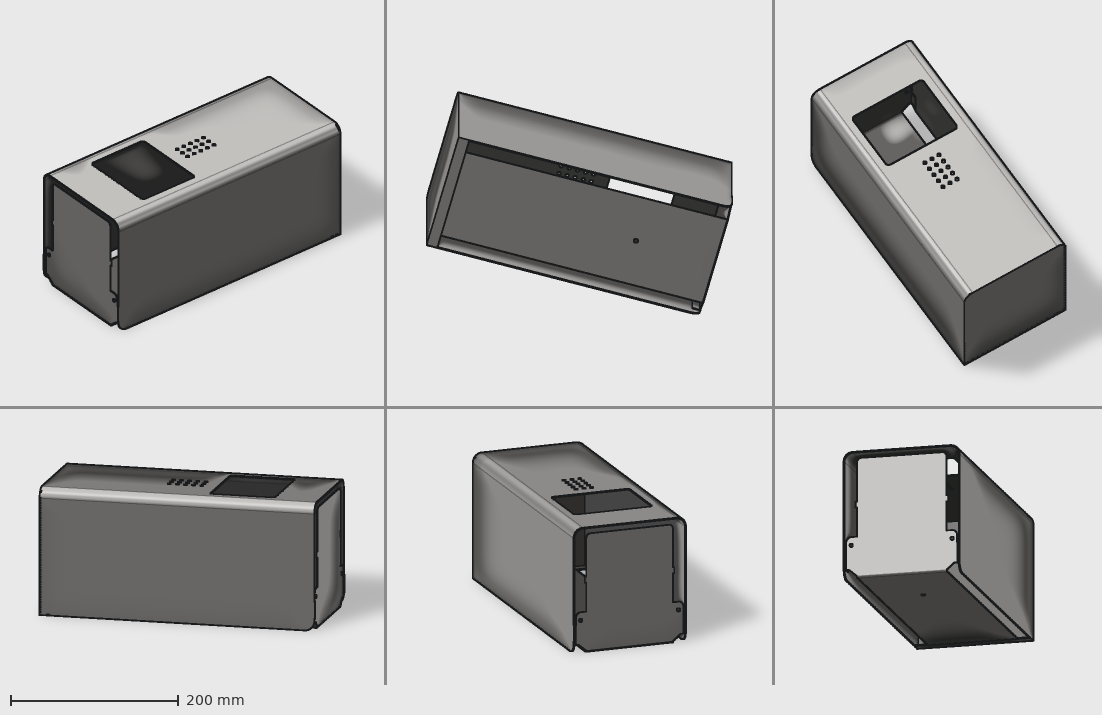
import cadquery as cq

WIDTH = 143.7
LENGTH = 339.0
HEIGHT = 155.5
HOUSING_SHEET = 1.5
CHASSIS_SHEET = 1.0

HOUSING_FRONT = 0.7
ROOF_BEND_RADIUS = 12.0
WALL_CORNER_RADIUS = 12.0
REAR_LIP_DEPTH = 12.0
TAB_BOTTOM = 15.0
TAB_TOP = 36.3

WINDOW_WIDTH = 100.0
WINDOW_LENGTH = 80.0
WINDOW_CORNER_RADIUS = 4.0
WINDOW_Y = 95.0

VENT_DIAMETER = 4.0
VENT_PITCH = 10.0
VENT_COLUMNS = 3
VENT_ROWS = 5
VENT_CENTRE_Y = 175.0

PLATE_HALF_WIDTH = 55.3
PLATE_TOP = 147.5
PLATE_CORNER_RADIUS = 5.0
SHOULDER_HALF_WIDTH = 68.5
SHOULDER_TOP = 50.5
SHOULDER_CORNER_RADIUS = 6.0
CHAMFER_TOP_HALF_WIDTH = 65.0
FLOOR_BEND_RADIUS = 2.0
FLOOR_HALF_WIDTH = 55.5
SCREW_HOLE_DIAMETER = 4.0
SCREW_HOLE_X = 62.5
SCREW_HOLE_Z = 40.5
FLOOR_HOLE_DIAMETER = 5.0
FLOOR_HOLE_Y = 99.5

FLANGE_BOTTOM = 10.2
FLANGE_TOP = 35.3
FLANGE_DEPTH = 10.2
CATCH_BOTTOM = 86.5
CATCH_TOP = 94.0
CATCH_REACH = 1.0
CATCH_EDGE_RADIUS = 0.95

PLATE_BACK = HOUSING_FRONT + CHASSIS_SHEET
REAR_WALL_FRONT = LENGTH - HOUSING_SHEET
LIP_FRONT = REAR_WALL_FRONT - REAR_LIP_DEPTH
INNER_WIDTH = WIDTH - 2 * HOUSING_SHEET


def block(x_range, y_range, z_range):
    """Box spanning the given (low, high) ranges."""
    size = [high - low for low, high in (x_range, y_range, z_range)]
    return cq.Workplane("XY").box(*size, centered=False).translate((x_range[0], y_range[0], z_range[0]))


def arched_block(width, height, top_radius, y_range):
    """Block standing on Z = 0 whose two upper long edges are rounded."""
    body = block((-width / 2, width / 2), y_range, (0, height))
    return body.edges("|Y and >Z").fillet(top_radius)


def vent_centres():
    """Grid of vent centres on the roof."""
    return [
        (
            (column - (VENT_COLUMNS - 1) / 2) * VENT_PITCH,
            VENT_CENTRE_Y + (row - (VENT_ROWS - 1) / 2) * VENT_PITCH,
        )
        for column in range(VENT_COLUMNS)
        for row in range(VENT_ROWS)
    ]


def make_housing():
    outer = arched_block(WIDTH, HEIGHT, ROOF_BEND_RADIUS, (HOUSING_FRONT, LENGTH))
    outer = outer.edges("|X and <Y and <Z").fillet(WALL_CORNER_RADIUS)
    inner_bend_radius = ROOF_BEND_RADIUS - HOUSING_SHEET
    cavity_y_range = (HOUSING_FRONT, REAR_WALL_FRONT)
    cavity = arched_block(INNER_WIDTH, HEIGHT - HOUSING_SHEET, inner_bend_radius, cavity_y_range)
    housing = outer.cut(cavity)

    lip = block((-WIDTH / 2, WIDTH / 2), (LIP_FRONT, LENGTH), (0, HOUSING_SHEET))
    housing = housing.union(lip)

    for left_face in (-WIDTH / 2, INNER_WIDTH / 2):
        tab = block((left_face, left_face + HOUSING_SHEET), (0, PLATE_BACK), (TAB_BOTTOM, TAB_TOP))
        housing = housing.union(tab)

    roof_underside = cq.Workplane("XY").workplane(offset=HEIGHT - HOUSING_SHEET)
    window = (
        roof_underside.center(0, WINDOW_Y)
        .rect(WINDOW_WIDTH, WINDOW_LENGTH)
        .extrude(HOUSING_SHEET)
        .edges("|Z")
        .fillet(WINDOW_CORNER_RADIUS)
    )
    vents = roof_underside.pushPoints(vent_centres()).circle(VENT_DIAMETER / 2).extrude(HOUSING_SHEET)
    return housing.cut(window).cut(vents)


def front_plate():
    """Stepped plate with sloped lower corners and two screw holes."""
    right_outline = [
        (FLOOR_HALF_WIDTH, 0),
        (FLOOR_HALF_WIDTH, FLOOR_BEND_RADIUS),
        (CHAMFER_TOP_HALF_WIDTH, FLANGE_BOTTOM),
        (SHOULDER_HALF_WIDTH, FLANGE_BOTTOM),
        (SHOULDER_HALF_WIDTH, SHOULDER_TOP),
        (PLATE_HALF_WIDTH, SHOULDER_TOP),
        (PLATE_HALF_WIDTH, PLATE_TOP),
    ]
    left_outline = [(-x, z) for x, z in reversed(right_outline)]
    plane = cq.Workplane("XZ", origin=(0, PLATE_BACK, 0))
    plate = plane.polyline(right_outline + left_outline).close().extrude(CHASSIS_SHEET)

    middle = (PLATE_TOP + SHOULDER_TOP) / 2
    top_corners = cq.selectors.BoxSelector((-WIDTH, -LENGTH, middle), (WIDTH, LENGTH, HEIGHT))
    plate = plate.edges("|Y").edges(top_corners).fillet(PLATE_CORNER_RADIUS)
    plate = plate.edges("|Y and (<X or >X)").edges(">Z").fillet(SHOULDER_CORNER_RADIUS)

    screw_holes = (
        plane.pushPoints([(-SCREW_HOLE_X, SCREW_HOLE_Z), (SCREW_HOLE_X, SCREW_HOLE_Z)])
        .circle(SCREW_HOLE_DIAMETER / 2)
        .extrude(CHASSIS_SHEET)
    )
    return plate.cut(screw_holes)


def rounded_edge_strip(inner_face, flat_end, radius, depth, z_range):
    """Strip on the +X side, flat in front up to X = flat_end and then rounded back."""
    outer_face = flat_end + radius
    strip = block((inner_face, outer_face), (HOUSING_FRONT, HOUSING_FRONT + depth), z_range)
    return strip.edges("|Z and >X and <Y").fillet(radius)


def side_flange():
    """One sheet thick, turned back from the shoulder edge."""
    inner_face = SHOULDER_HALF_WIDTH - CHASSIS_SHEET
    z_range = (FLANGE_BOTTOM, FLANGE_TOP)
    strip = rounded_edge_strip(inner_face, SHOULDER_HALF_WIDTH, CHASSIS_SHEET, FLANGE_DEPTH, z_range)
    behind_plate = block((inner_face, SHOULDER_HALF_WIDTH), (PLATE_BACK, LENGTH), z_range)
    return strip.cut(behind_plate)


def side_catch():
    """Small bump on the upright edge of the plate."""
    flat_end = PLATE_HALF_WIDTH + CATCH_REACH
    z_range = (CATCH_BOTTOM, CATCH_TOP)
    return rounded_edge_strip(PLATE_HALF_WIDTH, flat_end, CATCH_EDGE_RADIUS, CHASSIS_SHEET, z_range)


def make_chassis():
    floor = block((-FLOOR_HALF_WIDTH, FLOOR_HALF_WIDTH), (HOUSING_FRONT, LIP_FRONT), (0, CHASSIS_SHEET))
    chassis = front_plate().union(floor)
    chassis = chassis.edges("|X and <Y and <Z").fillet(FLOOR_BEND_RADIUS)
    inner_bend = cq.selectors.NearestToPointSelector((0, PLATE_BACK, CHASSIS_SHEET))
    chassis = chassis.edges("|X").edges(inner_bend).fillet(FLOOR_BEND_RADIUS - CHASSIS_SHEET)

    for feature in (side_flange(), side_catch()):
        chassis = chassis.union(feature).union(feature.mirror("YZ"))

    floor_hole_sketch = cq.Workplane("XY").center(0, FLOOR_HOLE_Y).circle(FLOOR_HOLE_DIAMETER / 2)
    floor_hole = floor_hole_sketch.extrude(CHASSIS_SHEET)
    return chassis.cut(floor_hole)


housing = make_housing()
chassis = make_chassis()
result = cq.Compound.makeCompound([housing.solids().val(), chassis.solids().val()])